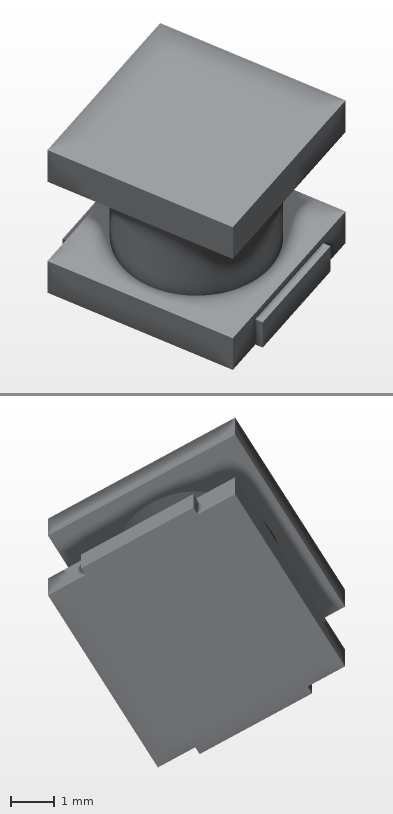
import cadquery as cq

overall_length = 5.4
flange_side = 5.0
overall_height = 4.51

flange_thickness = 1.0
core_diameter = 4.0
core_height = overall_height - 2 * flange_thickness

terminal_width = 3.0
terminal_height = 0.8


def square_flange(base_z):
    """Square plate centred on the core axis, with its underside at base_z."""
    return (
        cq.Workplane("XY", origin=(0, 0, base_z))
        .rect(flange_side, flange_side)
        .extrude(flange_thickness)
    )


bottom_flange = square_flange(0)
top_flange = square_flange(flange_thickness + core_height)

core = (
    cq.Workplane("XY", origin=(0, 0, flange_thickness))
    .circle(core_diameter / 2)
    .extrude(core_height)
)

terminals = (
    cq.Workplane("XY")
    .rect(overall_length, terminal_width)
    .extrude(terminal_height)
)

result = bottom_flange.union(core).union(top_flange).union(terminals)